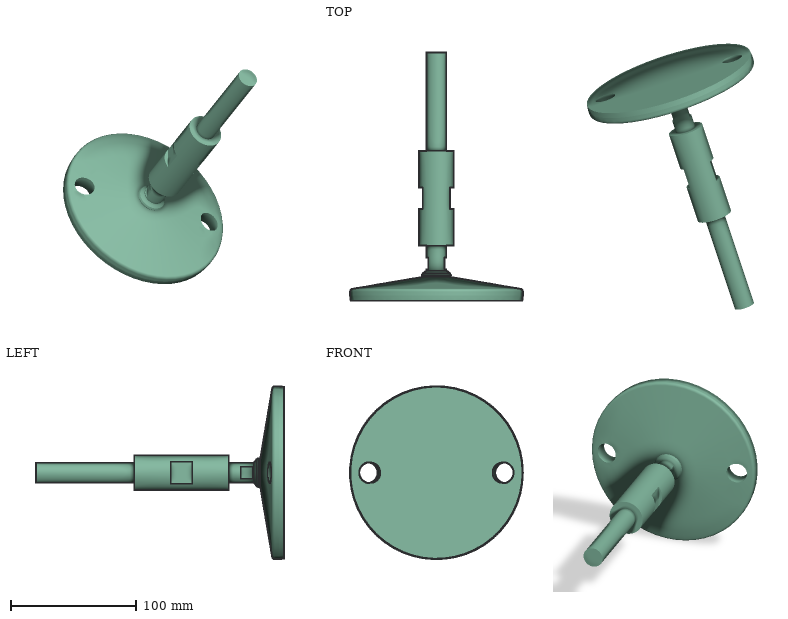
import cadquery as cq
import math

TOTAL_LENGTH = 198.0

PLATE_RADIUS = 138.0 / 2
BOTTOM_RADIUS = 68.5
TAPER_HEIGHT = 4.2
SEAT_RADIUS = 10.9
SEAT_Y = 19.2
CONE_ANGLE = 9.6
RIM_FILLET = 2.4

HOLE_DIAMETER = 16.5
HOLE_OFFSET = 53.0

ROD_DIAMETER = 16.0
COLLAR_RADIUS = 11.7
COLLAR_Y = 20.4
COLLAR_SHOULDER_RADIUS = 10.9
COLLAR_SHOULDER_Y = 22.0
COLLAR_TOP_Y = 24.2

SLEEVE_DIAMETER = 28.0
SLEEVE_BOTTOM_Y = 44.2
SLEEVE_LENGTH = 75.5
SLEEVE_TOP_Y = SLEEVE_BOTTOM_Y + SLEEVE_LENGTH

SLEEVE_ACROSS_FLATS = 22.0
SLEEVE_FLAT_LENGTH = 16.8
SLEEVE_FLAT_Y = SLEEVE_BOTTOM_Y + SLEEVE_LENGTH / 2
ROD_ACROSS_FLATS = 13.0
ROD_FLAT_LENGTH = 9.3
ROD_FLAT_Y = 29.9


def make_hole_cutter(side):
    """Drill for the hole on one side (+1 or -1), leaning outward with height."""
    tilt = math.radians(CONE_ANGLE)
    direction = cq.Vector(side * math.sin(tilt), math.cos(tilt), 0)
    start = cq.Vector(side * HOLE_OFFSET, 0, 0) - direction * SEAT_Y
    return cq.Solid.makeCylinder(HOLE_DIAMETER / 2, 2 * SEAT_Y, start, direction)


def make_base_plate():
    slope = math.radians(CONE_ANGLE)
    corner_y = SEAT_Y - (PLATE_RADIUS - SEAT_RADIUS) * math.tan(slope)
    tangent_length = RIM_FILLET * math.tan((math.pi / 2 - slope) / 2)
    arc_start = (PLATE_RADIUS, corner_y - tangent_length)
    arc_end = (
        PLATE_RADIUS - tangent_length * math.cos(slope),
        corner_y + tangent_length * math.sin(slope),
    )
    plate = (
        cq.Workplane("XY")
        .moveTo(0, 0)
        .lineTo(BOTTOM_RADIUS, 0)
        .lineTo(PLATE_RADIUS, TAPER_HEIGHT)
        .lineTo(*arc_start)
        .tangentArcPoint(arc_end, relative=False)
        .lineTo(SEAT_RADIUS, SEAT_Y)
        .lineTo(0, SEAT_Y)
        .close()
        .revolve(360, (0, 0, 0), (0, 1, 0))
    )
    for side in (-1, 1):
        plate = plate.cut(cq.Workplane(make_hole_cutter(side)))
    return plate


def cut_flats(body, diameter, across_flats, length, center_y):
    """Cut a pair of opposite flats facing -X and +X."""
    depth = (diameter - across_flats) / 2
    for side in (-1, 1):
        cutter = cq.Workplane("XY").box(2 * depth, length, diameter)
        body = body.cut(cutter.translate((side * diameter / 2, center_y, 0)))
    return body


def make_spindle():
    rod_radius = ROD_DIAMETER / 2
    sleeve_radius = SLEEVE_DIAMETER / 2
    outline = [
        (0, SEAT_Y),
        (SEAT_RADIUS, SEAT_Y),
        (COLLAR_RADIUS, COLLAR_Y),
        (COLLAR_SHOULDER_RADIUS, COLLAR_SHOULDER_Y),
        (rod_radius, COLLAR_TOP_Y),
        (rod_radius, SLEEVE_BOTTOM_Y),
        (sleeve_radius, SLEEVE_BOTTOM_Y),
        (sleeve_radius, SLEEVE_TOP_Y),
        (rod_radius, SLEEVE_TOP_Y),
        (rod_radius, TOTAL_LENGTH),
        (0, TOTAL_LENGTH),
    ]
    spindle = cq.Workplane("XY").polyline(outline).close().revolve(360, (0, 0, 0), (0, 1, 0))
    spindle = cut_flats(spindle, SLEEVE_DIAMETER, SLEEVE_ACROSS_FLATS, SLEEVE_FLAT_LENGTH, SLEEVE_FLAT_Y)
    return cut_flats(spindle, ROD_DIAMETER, ROD_ACROSS_FLATS, ROD_FLAT_LENGTH, ROD_FLAT_Y)


base_plate = make_base_plate()
spindle = make_spindle()

result = cq.Compound.makeCompound([base_plate.val(), spindle.val()])